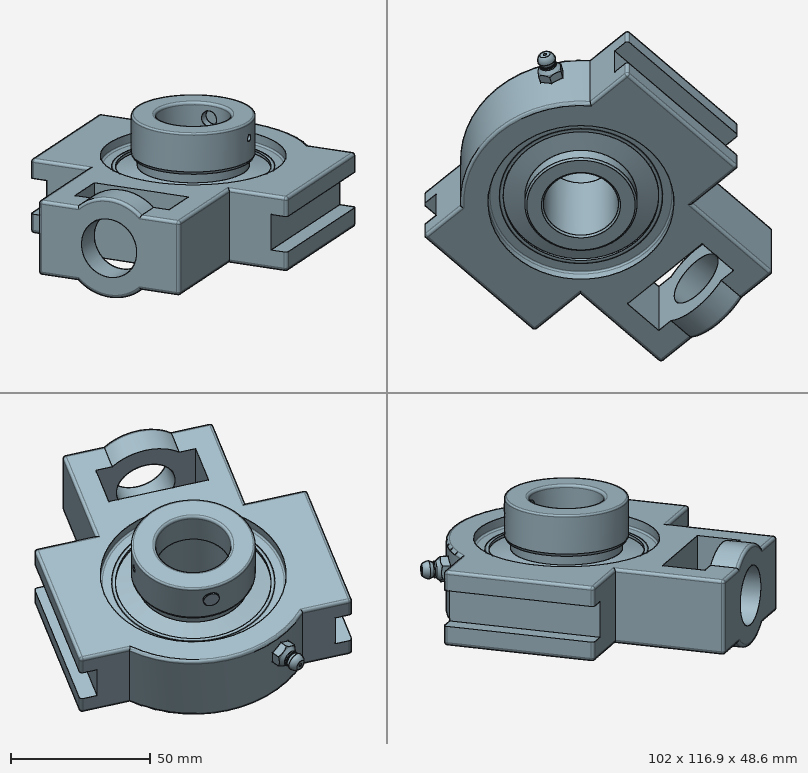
import cadquery as cq
import math


housing_height = 28.0
wing_width = 102.0
wing_length = 57.3
back_radius = 43.2
stem_width = 56.1
front_y = -70.1
edge_fillet = 1.2
guide_slot_width = 13.5
guide_slot_spacing = 89.3
window_width = 37.4
window_back_y = -43.2
window_front_y = -59.4
bolt_boss_diameter = 37.6
bolt_hole_diameter = 22.0
seat_recess_diameter = 66.7
seat_recess_depth = 4.0
seat_recess_fillet = 0.7

sphere_diameter = 62.0
outer_ring_fillet = 0.4
outer_ring_bore = 55.9
inner_ring_diameter = 40.3
inner_ring_bottom = -15.8
inner_ring_top = 18.2
inner_ring_chamfer = 0.7
shaft_bore = 27.0
bore_fillet = 1.0
seal_rim_height = 9.0
seal_hub_height = 10.4
seal_thickness = 1.8

collar_diameter = 44.5
collar_bottom = 14.1
collar_top = 29.8
collar_top_fillet = 0.7
collar_bottom_chamfer_height = 1.0
collar_bottom_chamfer_width = 0.6
spanner_hole_diameter = 2.5
spanner_hole_depth = 2.3
screw_diameter = 6.0
screw_height = 23.8
screw_tip_y = 22.8
screw_length = 5.8

nipple_angle = 30.0
nipple_height = 5.0
nipple_base_radius = 42.3
hex_flats = 8.3
hex_length = 4.1
hex_corner_drop = 0.5
cone_length = 1.4
shoulder_diameter = 6.0
shoulder_length = 0.6
neck_diameter = 5.4
neck_length = 0.5
flare_length = 1.4
head_diameter = 6.5
tip_diameter = 3.9
grease_hole_diameter = 1.2
grease_hole_depth = 1.2

half_height = housing_height / 2
wing_front_y = -wing_length / 2
seat_floor = half_height - seat_recess_depth


def ring_of_revolution(points):
    """Revolve a closed (radius, z) outline about the Z axis."""
    return cq.Workplane("XZ").polyline(points).close().revolve(360, (0, 0, 0), (0, 1, 0))


def centred_box(width, y_start, y_end, height):
    """A box centred on X and Z that spans the given Y range."""
    middle_y = (y_start + y_end) / 2
    return cq.Workplane("XY").box(width, y_end - y_start, height).translate((0, middle_y, 0))


def y_cylinder(diameter, y_start, y_end):
    """A cylinder along Y at the housing mid-height."""
    return cq.Workplane("XZ", origin=(0, y_start, 0)).circle(diameter / 2).extrude(y_start - y_end)


def make_outer_ring():
    """Ring with a spherical outside, its end faces flush with the floors of the seat recesses."""
    edge_radius = math.sqrt((sphere_diameter / 2) ** 2 - seat_floor ** 2)
    ring = (
        cq.Workplane("XZ")
        .moveTo(outer_ring_bore / 2, -seat_floor)
        .lineTo(edge_radius, -seat_floor)
        .threePointArc((sphere_diameter / 2, 0), (edge_radius, seat_floor))
        .lineTo(outer_ring_bore / 2, seat_floor)
        .close()
        .revolve(360, (0, 0, 0), (0, 1, 0))
    )
    return ring.faces("|Z").edges(cq.selectors.RadiusNthSelector(-1)).fillet(outer_ring_fillet)


def make_inner_ring():
    ring = (
        cq.Workplane("XY", origin=(0, 0, inner_ring_bottom))
        .circle(inner_ring_diameter / 2)
        .circle(shaft_bore / 2)
        .extrude(inner_ring_top - inner_ring_bottom)
    )
    return ring.faces("<Z").edges().chamfer(inner_ring_chamfer)


def make_seal(side):
    """Slightly conical seal between the rings; side is 1 for the top and -1 for the bottom."""
    hub_radius = inner_ring_diameter / 2
    rim_radius = outer_ring_bore / 2
    return ring_of_revolution([
        (hub_radius, side * seal_hub_height),
        (rim_radius, side * seal_rim_height),
        (rim_radius, side * (seal_rim_height - seal_thickness)),
        (hub_radius, side * (seal_hub_height - seal_thickness)),
    ])


def make_set_screw():
    return (
        cq.Workplane("XZ", origin=(0, screw_tip_y, screw_height))
        .circle(screw_diameter / 2)
        .extrude(screw_length)
    )


def make_collar():
    height = collar_top - collar_bottom
    base = cq.Workplane("XY", origin=(0, 0, collar_bottom))
    collar = base.circle(collar_diameter / 2).extrude(height)
    collar = collar.faces(">Z").edges().fillet(collar_top_fillet)
    collar = collar.faces("<Z").edges().chamfer(collar_bottom_chamfer_height, collar_bottom_chamfer_width)
    collar = collar.cut(base.circle(shaft_bore / 2).extrude(height))
    collar = collar.faces(">Z").edges(cq.selectors.RadiusNthSelector(0)).fillet(bore_fillet)
    ring_socket = base.circle(inner_ring_diameter / 2).extrude(inner_ring_top - collar_bottom)
    screw_hole = (
        cq.Workplane("XZ", origin=(0, 0, screw_height))
        .circle(screw_diameter / 2)
        .extrude(-collar_diameter / 2)
    )
    spanner_hole = (
        cq.Workplane("YZ", origin=(collar_diameter / 2, 0, screw_height))
        .circle(spanner_hole_diameter / 2)
        .extrude(-spanner_hole_depth)
    )
    return collar.cut(ring_socket).cut(screw_hole).cut(spanner_hole)


def make_nipple():
    """Hexagon, cone, neck and ball head, built upright along Z and then laid on its radius."""
    shoulder_start = hex_length + cone_length
    neck_start = shoulder_start + shoulder_length
    flare_start = neck_start + neck_length
    ball_centre = flare_start + flare_length
    ball_radius = head_diameter / 2
    tip_radius = tip_diameter / 2
    tip_height = ball_centre + math.sqrt(ball_radius ** 2 - tip_radius ** 2)
    middle_angle = math.acos(tip_radius / ball_radius) / 2
    ball_middle = (
        ball_radius * math.cos(middle_angle),
        ball_centre + ball_radius * math.sin(middle_angle),
    )
    hex_corner_radius = hex_flats / math.sqrt(3)

    hexagon = cq.Workplane("XY").polygon(6, hex_flats, circumscribed=True).extrude(shoulder_start)
    cone = ring_of_revolution([
        (0, 0),
        (hex_corner_radius, 0),
        (hex_corner_radius, hex_length - hex_corner_drop),
        (hex_flats / 2, hex_length),
        (shoulder_diameter / 2, shoulder_start),
        (0, shoulder_start),
    ])
    head = (
        cq.Workplane("XZ")
        .moveTo(0, shoulder_start)
        .lineTo(shoulder_diameter / 2, shoulder_start)
        .lineTo(shoulder_diameter / 2, neck_start)
        .lineTo(neck_diameter / 2, neck_start)
        .lineTo(neck_diameter / 2, flare_start)
        .lineTo(ball_radius, ball_centre)
        .threePointArc(ball_middle, (tip_radius, tip_height))
        .lineTo(0, tip_height)
        .close()
        .revolve(360, (0, 0, 0), (0, 1, 0))
    )
    grease_hole = cq.Workplane("XY", origin=(0, 0, tip_height)).circle(grease_hole_diameter / 2)
    nipple = hexagon.intersect(cone).union(head).cut(grease_hole.extrude(-grease_hole_depth))
    return (
        nipple.translate((0, 0, nipple_base_radius))
        .rotate((0, 0, 0), (1, 0, 0), -90)
        .rotate((0, 0, 0), (0, 0, 1), nipple_angle)
        .translate((0, 0, nipple_height))
    )


def make_plate():
    """Wings, round back and stem as one plate with its outer edges rounded."""
    wings = centred_box(wing_width, wing_front_y, wing_length / 2, housing_height)
    stem = centred_box(stem_width, front_y, 0, housing_height)
    back = cq.Workplane("XY", origin=(0, 0, -half_height)).circle(back_radius).extrude(housing_height)
    back_half = centred_box(wing_width, 0, back_radius, housing_height)
    plate = wings.union(stem).union(back.intersect(back_half))
    plate = plate.edges("|Z and (<X or >X or <Y)").fillet(edge_fillet)
    return plate.faces("|Z").edges().fillet(edge_fillet)


def make_guide_slots():
    """Slots along both wing ends that slide on the take-up frame."""
    full_width = centred_box(wing_width, wing_front_y, wing_length / 2, guide_slot_width)
    web = centred_box(guide_slot_spacing, wing_front_y, wing_length / 2, guide_slot_width)
    return full_width.cut(web)


def make_seat():
    """Spherical bearing seat with a round recess on the top and bottom faces."""
    seat = cq.Workplane("XY").sphere(sphere_diameter / 2)
    for side in (1, -1):
        recess = (
            cq.Workplane("XY", origin=(0, 0, side * seat_floor))
            .circle(seat_recess_diameter / 2)
            .extrude(side * seat_recess_depth)
        )
        floor = "<Z" if side == 1 else ">Z"
        seat = seat.union(recess.faces(floor).edges().fillet(seat_recess_fillet))
    return seat.intersect(centred_box(wing_width, -back_radius, back_radius, housing_height))


def make_housing(nipple):
    boss = y_cylinder(bolt_boss_diameter, front_y, window_front_y)
    boss = boss.faces("<Y").edges().fillet(edge_fillet)
    window = centred_box(window_width, window_front_y, window_back_y, housing_height)
    bolt_hole = y_cylinder(bolt_hole_diameter, front_y, window_front_y)
    housing = make_plate().union(boss)
    for cutter in (make_guide_slots(), window, bolt_hole, make_seat(), nipple):
        housing = housing.cut(cutter)
    return housing


nipple = make_nipple()
housing = make_housing(nipple)
outer_ring = make_outer_ring()
inner_ring = make_inner_ring()
seals = [make_seal(side).val() for side in (1, -1)]
collar = make_collar()
set_screw = make_set_screw()

result = cq.Compound.makeCompound([
    housing.val(),
    outer_ring.val(),
    inner_ring.val(),
    *seals,
    collar.val(),
    set_screw.val(),
    nipple.val(),
])